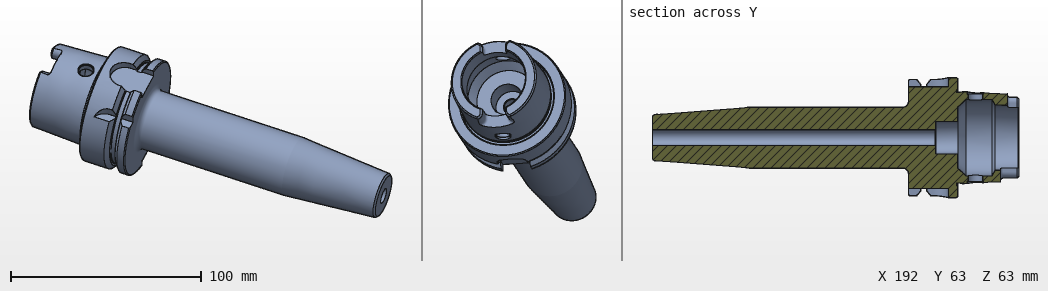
import cadquery as cq
import math


total_length = 192.0
flange_start = 32.0
flange_length = 26.0
flange_end = flange_start + flange_length

taper_mouth_radius = 22.8
taper_end = 29.5
taper_slope = 0.045
taper_end_radius = taper_mouth_radius + taper_slope * taper_end
mouth_chamfer = 0.8
collar_radius = 24.0
collar_end = 30.5
neck_radius = 23.8
neck_start = 31.1
face_recess_radius = 25.5
face_recess_depth = 0.5

flange_radius = 63.0 / 2
flange_chamfer = 0.5
groove_start = 46.3
groove_end = 53.5
groove_radius = 27.6
groove_flank_length = 2.1
groove_flank_radius = 29.0
groove_root_fillet = 0.4

shank_radius = 32.0 / 2
shank_fillet = 2.9
nose_start = 141.1
nose_radius = 24.4 / 2
tip_chamfer = 1.0

mouth_bore_radius = 34.0 / 2
bore_chamfer = 0.5
clamp_start = 12.5
clamp_end = 14.2
clamp_radius = 40.0 / 2
bore_cone_start = 27.8
bore_floor = 32.0
floor_radius = 32.0 / 2
socket_radius = 16.9 / 2
socket_depth = 11.5
coolant_radius = 8.0 / 2
coolant_rim_radius = 8.8 / 2

slot_half_width = 6.1
top_slot_depth = 6.0
bottom_slot_depth = 9.6
slot_floor_fillet = 1.3
slot_edge_round = 3.0
slot_round_clearance = 0.5
slot_round_reach = taper_mouth_radius + slot_round_clearance
slot_mouth_chamfer = 1.0

cross_hole_x = 22.8
cross_hole_radius = 7.5 / 2
cross_hole_rim_radius = 8.5 / 2
cross_hole_rim_height = 22.8

cutter_radius = 7.9
cutter_stop = 45.0
keyway_floor = 26.7
notch_wall = 20.0
notch_floor = 19.8


def make_body():
    wall_start = groove_start + groove_flank_length
    wall_end = groove_end - groove_flank_length
    recess_floor = flange_start + face_recess_depth
    return (
        cq.Workplane("XY")
        .moveTo(0, 0)
        .lineTo(0, taper_mouth_radius - mouth_chamfer)
        .lineTo(mouth_chamfer, taper_mouth_radius + taper_slope * mouth_chamfer)
        .lineTo(taper_end, taper_end_radius)
        .lineTo(taper_end, collar_radius)
        .lineTo(collar_end, collar_radius)
        .lineTo(neck_start, neck_radius)
        .lineTo(recess_floor, neck_radius)
        .lineTo(recess_floor, face_recess_radius - face_recess_depth)
        .lineTo(flange_start, face_recess_radius)
        .lineTo(flange_start, flange_radius - flange_chamfer)
        .lineTo(flange_start + flange_chamfer, flange_radius)
        .lineTo(groove_start, flange_radius)
        .lineTo(wall_start, groove_flank_radius)
        .lineTo(wall_start, groove_radius + groove_root_fillet)
        .radiusArc((wall_start + groove_root_fillet, groove_radius), -groove_root_fillet)
        .lineTo(wall_end - groove_root_fillet, groove_radius)
        .radiusArc((wall_end, groove_radius + groove_root_fillet), -groove_root_fillet)
        .lineTo(wall_end, groove_flank_radius)
        .lineTo(groove_end, flange_radius)
        .lineTo(flange_end - flange_chamfer, flange_radius)
        .lineTo(flange_end, flange_radius - flange_chamfer)
        .lineTo(flange_end, shank_radius + shank_fillet)
        .radiusArc((flange_end + shank_fillet, shank_radius), -shank_fillet)
        .lineTo(nose_start, shank_radius)
        .lineTo(total_length - tip_chamfer, nose_radius)
        .lineTo(total_length, nose_radius - tip_chamfer)
        .lineTo(total_length, 0)
        .close()
        .revolve(360, (0, 0, 0), (1, 0, 0))
    )


def make_bore():
    socket_end = bore_floor + socket_depth
    return (
        cq.Workplane("XY")
        .moveTo(0, 0)
        .lineTo(0, mouth_bore_radius + bore_chamfer)
        .lineTo(bore_chamfer, mouth_bore_radius)
        .lineTo(clamp_start, mouth_bore_radius)
        .lineTo(clamp_end, clamp_radius)
        .lineTo(bore_cone_start, clamp_radius)
        .lineTo(bore_floor, floor_radius)
        .lineTo(bore_floor, socket_radius)
        .lineTo(socket_end, socket_radius)
        .lineTo(socket_end, coolant_rim_radius)
        .lineTo(socket_end + coolant_rim_radius - coolant_radius, coolant_radius)
        .lineTo(total_length, coolant_radius)
        .lineTo(total_length, 0)
        .close()
        .revolve(360, (0, 0, 0), (1, 0, 0))
    )


def draw_slot(plane, spread):
    """Slot cross-section, flaring outward around the rounded wall edges; spread widens it evenly."""
    centre_y = slot_half_width + slot_edge_round
    centre_z = math.sqrt((slot_round_reach - slot_edge_round) ** 2 - centre_y**2)
    lean = math.atan2(centre_y, centre_z)
    radius = slot_edge_round - spread
    half_width = slot_half_width + spread

    def on_rounding(angle):
        return centre_y + radius * math.sin(angle), centre_z + radius * math.cos(angle)

    end_y, end_z = on_rounding(lean)
    mid_y, mid_z = on_rounding((lean - math.pi / 2) / 2)
    root_z = floor_radius / 2
    top_z = flange_radius
    top_y = end_y + (top_z - end_z) * math.tan(lean)
    return (
        plane.moveTo(-half_width, root_z)
        .lineTo(-half_width, centre_z)
        .threePointArc((-mid_y, mid_z), (-end_y, end_z))
        .lineTo(-top_y, top_z)
        .lineTo(top_y, top_z)
        .lineTo(end_y, end_z)
        .threePointArc((mid_y, mid_z), (half_width, centre_z))
        .lineTo(half_width, root_z)
        .close()
    )


def make_drive_slot(depth):
    slot = draw_slot(cq.Workplane("YZ"), 0).extrude(depth)
    return slot.faces(">X").edges().fillet(slot_floor_fillet)


def make_slot_mouth():
    """Wedge that chamfers the slot edges at the mouth of the taper."""
    wide_end = draw_slot(cq.Workplane("YZ"), slot_mouth_chamfer)
    return draw_slot(wide_end.workplane(offset=slot_mouth_chamfer), 0).loft(ruled=True)


def make_cross_hole():
    hole = cq.Workplane("XY").center(cross_hole_x, 0).circle(cross_hole_radius)
    hole = hole.extrude(flange_radius, both=True)
    for side in (1, -1):
        rim = cq.Workplane("XY", origin=(cross_hole_x, 0, side * cross_hole_rim_height))
        hole = hole.union(rim.circle(cross_hole_rim_radius).extrude(side * flange_radius))
    return hole


def make_milled_path(centre_y, floor):
    """Upright end-mill path with a round inner end, open at the shank side of the flange."""
    run = flange_end - cutter_stop
    height = flange_radius - floor
    round_end = cq.Workplane("XY", origin=(cutter_stop, centre_y, floor))
    round_end = round_end.circle(cutter_radius).extrude(height)
    straight = cq.Workplane("XY", origin=(cutter_stop + run / 2, centre_y, floor))
    straight = straight.rect(run, 2 * cutter_radius).extrude(height)
    return round_end.union(straight)


slot_mouth = make_slot_mouth()
keyway = make_milled_path(0, keyway_floor)
notch = make_milled_path(-notch_wall - cutter_radius, notch_floor)

result = (
    make_body()
    .cut(make_bore())
    .cut(make_drive_slot(top_slot_depth))
    .cut(make_drive_slot(bottom_slot_depth).mirror("XY"))
    .cut(slot_mouth)
    .cut(slot_mouth.mirror("XY"))
    .cut(make_cross_hole())
    .cut(keyway)
    .cut(keyway.mirror("XY"))
    .cut(notch)
)